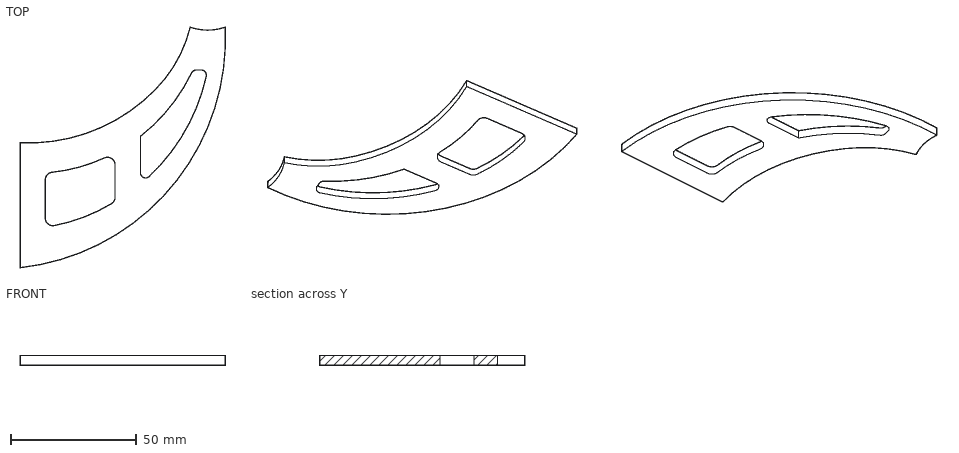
import cadquery as cq

thickness = 4.0
width = 82.0
height = 96.2

straight_edge_length = 50.0
tip_width = 14.0
outer_radius = 92.1
tip_radius = 21.2
inner_lower_radius = 70.6
inner_upper_radius = 53.3
inner_joint = (54.0, 71.2)

wide_window_left = 10.1
wide_window_right = 37.9
wide_window_left_ends = (16.4, 37.9)
wide_window_right_ends = (26.55, 46.0)
wide_window_lower_radius = 69.45
wide_window_upper_radius = 66.6
wide_window_corner_radius = 3.0

tall_window_left = 48.1
tall_window_left_ends = (33.5, 52.5)
tall_window_top = 79.0
tall_window_top_ends = (69.1, 74.8)
tall_window_outer_radius = 78.3
tall_window_inner_radius = 71.7
tall_window_corner_radius = 2.0


def make_arm():
    """Curved plate bounded by the straight edge, outer arc, tip arc and two inner arcs."""
    return (
        cq.Workplane("XY")
        .moveTo(0, 0)
        .radiusArc((width, height), -outer_radius)
        .radiusArc((width - tip_width, height), tip_radius)
        .radiusArc(inner_joint, inner_upper_radius)
        .radiusArc((0, straight_edge_length), inner_lower_radius)
        .close()
        .extrude(thickness)
    )


def make_wide_window():
    """Cutter with two upright sides, two curved sides and four round corners."""
    left_bottom, left_top = wide_window_left_ends
    right_bottom, right_top = wide_window_right_ends
    return (
        cq.Workplane("XY")
        .moveTo(wide_window_left, left_bottom)
        .radiusArc((wide_window_right, right_bottom), -wide_window_lower_radius)
        .lineTo(wide_window_right, right_top)
        .radiusArc((wide_window_left, left_top), wide_window_upper_radius)
        .close()
        .extrude(thickness)
        .edges("|Z")
        .fillet(wide_window_corner_radius)
    )


def make_tall_window():
    """Cutter with round corners, except the sharp one above its upright left side."""
    left_bottom, left_top = tall_window_left_ends
    top_left, top_right = tall_window_top_ends
    sharp_corner = (tall_window_left, left_top, thickness / 2)
    blank = (
        cq.Workplane("XY")
        .moveTo(tall_window_left, left_bottom)
        .radiusArc((top_right, tall_window_top), -tall_window_outer_radius)
        .lineTo(top_left, tall_window_top)
        .radiusArc((tall_window_left, left_top), tall_window_inner_radius)
        .close()
        .extrude(thickness)
    )
    upright_edges = cq.selectors.StringSyntaxSelector("|Z")
    sharp_edge = cq.selectors.NearestToPointSelector(sharp_corner)
    return blank.edges(upright_edges - sharp_edge).fillet(tall_window_corner_radius)


result = make_arm().cut(make_wide_window()).cut(make_tall_window())